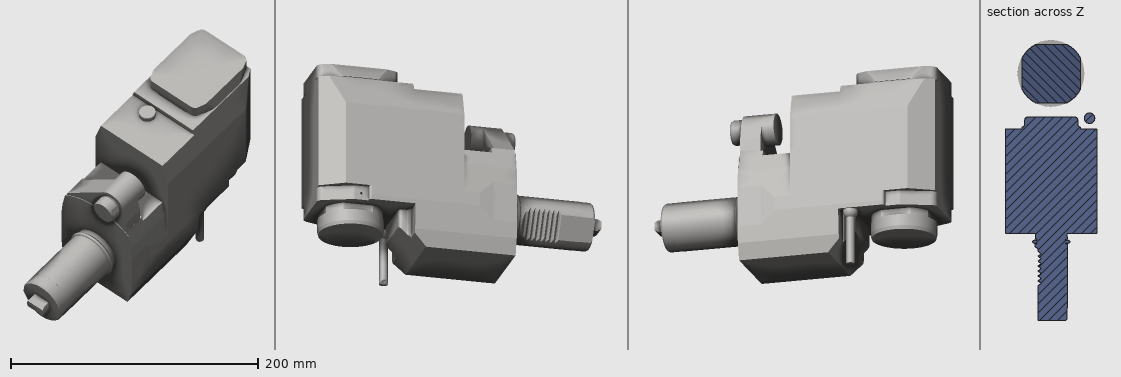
import math

import cadquery as cq


BLOCK_HALF_WIDTH = 38.0
BLOCK_BACK_Y = 163.5
BLOCK_FRONT_Y = 44.5
BLOCK_TOP_Z = 97.3
BLOCK_BOTTOM_Z = -9.2
STEP_Y = 85.2
STEP_TOP_Z = 92.2
SHOULDER_Z = 72.5
SHOULDER_SLOPE = 0.29
BACK_CORNER_LENGTH = 19.8
BACK_CORNER_ANGLE = 30

CASE_WAIST_Z = 5.5
CASE_SHOULDER = (35.8, 30.2)
CASE_TOP = (32.2, 43.8)
CASE_BACK_Y = STEP_Y
CASE_CHAMFER_Y = 75.0
FLANGE_HALF_WIDTH = 37.0
FLANGE_TOP_Z = 48.2
FLANGE_THICKNESS = 19.8
FLANGE_BLEND_Y = 31.5
PAD_HEIGHT = 0.5
PAD_RADIUS = 55.0

REAR_BOSS_HALF_WIDTH = 21.8
REAR_BOSS_BACK_Y = 94.9
REAR_BOSS_CORNER_RADIUS = 3.1
REAR_BOSS_ROOT_RADIUS = 2.2
REAR_BOSS_STEP = 1.5

SPINDLE_Y = 129.7
PLATE_HALF_LENGTH = BLOCK_BACK_Y - SPINDLE_Y
PLATE_HALF_WIDTH = 34.0
PLATE_END_HALF_WIDTH = 23.7
PLATE_SIDE_ANGLE = 20
PLATE_CORNER_RADIUS = 5.8
CAP_TOP_Z = 109.0
CAP_SPIGOT_RADIUS = 36.8
CAP_SPIGOT_HALF_WIDTH = 29.8
CAP_SPIGOT_HEIGHT = 1.0
FOOT_TOP_Z = 2.7
NOTCH_FRONT_Y = 124.0
NOTCH_CORNER_RADIUS = 2.2
FOOT_HOLE_DIAMETER = 2.1
FOOT_HOLE_DEPTH = 4.8
FOOT_HOLE_Z = -3.6
NUT_DIAMETER = 54.0
NUT_BOTTOM_Z = -27.3
NUT_RIM_HEIGHT = 3.0
NUT_RIM_INSET = 0.7
WRENCH_FLATS = 48.0
WRENCH_FLAT_BOTTOM_Z = -15.0

BUTTON_X = -10.2
BUTTON_Y = 77.0
BUTTON_DIAMETER = 13.8
BUTTON_TOP_Z = 96.5
BUTTON_CHAMFER = 0.5

LUG_X = 15.0
LUG_Z = 70.5
LUG_DIAMETER = 26.0
LUG_BACK_Y = 17.7
LUG_BASE_HALF_WIDTH = 31.0
LUG_KNEE_Z = 59.5
SLEEVE_BACK_Y = 27.8
PIN_DIAMETER = 20.5
PIN_FLATS = 19.8
PIN_FLATS_ANGLE = 30
PIN_END_Y = -10.2
PIN_CHAMFER_LENGTH = 1.7
PIN_CHAMFER_DEPTH = 1.0

SHANK_DIAMETER = 40.0
SHANK_RELIEF_DIAMETER = 39.7
SHANK_END_Y = -70.2
SHANK_NECK_Y = -2.2
SHANK_TAIL_Y = -59.8
SHANK_CHAMFER = 1.5
SHANK_CHAMFER_DEPTH = 1.0
RING_Y = -6.3
RING_SECTION_RADIUS = 1.5
RING_OUTER_DIAMETER = 42.8
GROOVE_RADIUS = 19.0
GROOVE_START_Y = -4.0
GROOVE_END_Y = -7.7

FLAT_ANGLE = 30
FLAT_OFFSET = 17.05
FLAT_START_Y = -12.0
TOOTH_COUNT = 7
TOOTH_PITCH = 4.0
TOOTH_DEPTH = 2.5
TOOTH_START_Y = -14.0

TANG_END_Y = -78.5
TANG_DIAMETER = 17.2
TANG_HEIGHT = 10.2
TANG_TIP_LENGTH = 3.0
TANG_TIP_DEPTH = 1.7

NOZZLE_X = 31.0
NOZZLE_Y = 93.7
NOZZLE_DIAMETER = 7.0
NOZZLE_END_Z = -54.7
NOZZLE_BEVEL = 3.1
NOZZLE_JET_DIAMETER = 2.1
NOZZLE_JET_DEPTH = 3.6
NOZZLE_BALL_DIAMETER = 12.0
NOZZLE_BALL_Z = -11.0

CUT_MARGIN = 12.0


def mirrored(points):
    """Closes an outline of +X points with their mirror images about X = 0."""
    return points + [(-x, other) for x, other in reversed(points)]


def prism_along_y(points, y_start, y_end):
    """Extrudes an (X, Z) outline from y_start to y_end."""
    plane = cq.Workplane("XZ", origin=(0, y_start, 0))
    return plane.polyline(points).close().extrude(y_start - y_end)


def prism_along_z(points, z_start, z_end):
    """Extrudes an (X, Y) outline from z_start to z_end."""
    plane = cq.Workplane("XY", origin=(0, 0, z_start))
    return plane.polyline(points).close().extrude(z_end - z_start)


def prism_along_x(points, half_width):
    """Extrudes a (Y, Z) outline to both sides of X = 0."""
    return cq.Workplane("YZ").polyline(points).close().extrude(half_width, both=True)


def cylinder_along_y(x, z, diameter, y_start, y_end):
    plane = cq.Workplane("XZ", origin=(x, y_start, z))
    return plane.circle(diameter / 2).extrude(y_start - y_end)


def box_between(low, high):
    size = [b - a for a, b in zip(low, high)]
    return cq.Workplane("XY").box(*size, centered=False).translate(low)


def tangent_point(corner, centre, radius, side):
    """Point where the line from corner touches the circle; side is +1 or -1."""
    dx = corner[0] - centre[0]
    dz = corner[1] - centre[1]
    angle = math.atan2(dz, dx) + side * math.acos(radius / math.hypot(dx, dz))
    return (centre[0] + radius * math.cos(angle), centre[1] + radius * math.sin(angle))


def case_half_width(z):
    """Half width of the gear case on the steep side faces next to its waist."""
    shoulder_x, shoulder_z = CASE_SHOULDER
    slope = (BLOCK_HALF_WIDTH - shoulder_x) / (shoulder_z - CASE_WAIST_Z)
    return BLOCK_HALF_WIDTH - slope * (abs(z) - CASE_WAIST_Z)


def shoulder_half_width(z):
    """Half width of the block and its cap on the sloping upper side faces."""
    return BLOCK_HALF_WIDTH - SHOULDER_SLOPE * (z - SHOULDER_Z)


def make_block():
    section = mirrored([
        (case_half_width(BLOCK_BOTTOM_Z), BLOCK_BOTTOM_Z),
        (BLOCK_HALF_WIDTH, -CASE_WAIST_Z),
        (BLOCK_HALF_WIDTH, SHOULDER_Z),
        (shoulder_half_width(BLOCK_TOP_Z), BLOCK_TOP_Z),
    ])
    block = prism_along_y(section, BLOCK_FRONT_Y, BLOCK_BACK_Y)
    corner_depth = BACK_CORNER_LENGTH * math.tan(math.radians(BACK_CORNER_ANGLE))
    plan = mirrored([
        (BLOCK_HALF_WIDTH, BLOCK_FRONT_Y),
        (BLOCK_HALF_WIDTH, BLOCK_BACK_Y - BACK_CORNER_LENGTH),
        (BLOCK_HALF_WIDTH - corner_depth, BLOCK_BACK_Y),
    ])
    block = block.intersect(prism_along_z(plan, BLOCK_BOTTOM_Z, BLOCK_TOP_Z))
    step = box_between(
        (-BLOCK_HALF_WIDTH, BLOCK_FRONT_Y, STEP_TOP_Z),
        (BLOCK_HALF_WIDTH, STEP_Y, BLOCK_TOP_Z),
    )
    return block.cut(step)


def make_plate(z_start, z_end):
    """Eight-sided plate with rounded corners, centred on the spindle axis."""
    taper = PLATE_HALF_WIDTH - PLATE_END_HALF_WIDTH
    side_half_length = PLATE_HALF_LENGTH - taper / math.tan(math.radians(PLATE_SIDE_ANGLE))
    plan = mirrored([
        (PLATE_END_HALF_WIDTH, SPINDLE_Y - PLATE_HALF_LENGTH),
        (PLATE_HALF_WIDTH, SPINDLE_Y - side_half_length),
        (PLATE_HALF_WIDTH, SPINDLE_Y + side_half_length),
        (PLATE_END_HALF_WIDTH, SPINDLE_Y + PLATE_HALF_LENGTH),
    ])
    return prism_along_z(plan, z_start, z_end).edges("|Z").fillet(PLATE_CORNER_RADIUS)


def make_cap():
    cap = make_plate(BLOCK_TOP_Z, CAP_TOP_Z)
    shoulders = mirrored([
        (shoulder_half_width(BLOCK_TOP_Z), BLOCK_TOP_Z),
        (shoulder_half_width(CAP_TOP_Z), CAP_TOP_Z),
    ])
    cap = cap.intersect(prism_along_y(shoulders, 0, BLOCK_BACK_Y))
    spigot_plane = cq.Workplane("XY", origin=(0, SPINDLE_Y, BLOCK_TOP_Z))
    spigot = (
        spigot_plane.circle(CAP_SPIGOT_RADIUS)
        .extrude(CAP_SPIGOT_HEIGHT)
        .intersect(
            spigot_plane.rect(2 * CAP_SPIGOT_HALF_WIDTH, 2 * PLATE_HALF_LENGTH)
            .extrude(CAP_SPIGOT_HEIGHT)
        )
    )
    layer = spigot_plane.rect(2 * BLOCK_HALF_WIDTH, 4 * PLATE_HALF_LENGTH).extrude(CAP_SPIGOT_HEIGHT)
    return cap.cut(layer.cut(spigot))


def make_notch():
    """Recess around the foot plate, flared where it runs out of the block sides."""
    flare_x = BLOCK_HALF_WIDTH - NOTCH_CORNER_RADIUS
    flare_y = NOTCH_FRONT_Y - NOTCH_CORNER_RADIUS
    outer_x = BLOCK_HALF_WIDTH + CUT_MARGIN
    outer_y = BLOCK_BACK_Y + CUT_MARGIN
    bend = NOTCH_CORNER_RADIUS * math.sqrt(0.5)
    return (
        cq.Workplane("XY", origin=(0, 0, BLOCK_BOTTOM_Z))
        .moveTo(-flare_x, NOTCH_FRONT_Y)
        .lineTo(flare_x, NOTCH_FRONT_Y)
        .threePointArc((flare_x + bend, flare_y + bend), (BLOCK_HALF_WIDTH, flare_y))
        .lineTo(outer_x, flare_y)
        .lineTo(outer_x, outer_y)
        .lineTo(-outer_x, outer_y)
        .lineTo(-outer_x, flare_y)
        .lineTo(-BLOCK_HALF_WIDTH, flare_y)
        .threePointArc((-flare_x - bend, flare_y + bend), (-flare_x, NOTCH_FRONT_Y))
        .close()
        .extrude(FOOT_TOP_Z - BLOCK_BOTTOM_Z)
    )


def make_foot_hole():
    plane = cq.Workplane("YZ", origin=(-PLATE_HALF_WIDTH, SPINDLE_Y, FOOT_HOLE_Z))
    return plane.circle(FOOT_HOLE_DIAMETER / 2).extrude(FOOT_HOLE_DEPTH)


def make_button():
    return (
        cq.Workplane("XY", origin=(BUTTON_X, BUTTON_Y, STEP_TOP_Z))
        .circle(BUTTON_DIAMETER / 2)
        .extrude(BUTTON_TOP_Z - STEP_TOP_Z)
        .faces(">Z")
        .chamfer(BUTTON_CHAMFER)
    )


def make_gear_case():
    shoulder_x, shoulder_z = CASE_SHOULDER
    top_x, top_z = CASE_TOP
    top_slope = (shoulder_x - top_x) / (top_z - shoulder_z)
    flange_top_x = top_x - top_slope * (FLANGE_TOP_Z - top_z)
    lower = [
        (top_x, -top_z),
        (shoulder_x, -shoulder_z),
        (BLOCK_HALF_WIDTH, -CASE_WAIST_Z),
        (BLOCK_HALF_WIDTH, CASE_WAIST_Z),
        (shoulder_x, shoulder_z),
    ]
    body = prism_along_y(mirrored(lower + [CASE_TOP]), FLANGE_THICKNESS, CASE_BACK_Y)
    flange_section = mirrored(lower + [(flange_top_x, FLANGE_TOP_Z)])
    flange = prism_along_y(flange_section, PAD_HEIGHT, FLANGE_THICKNESS)
    dome_section = mirrored(lower + [(flange_top_x, PAD_RADIUS)])
    pad = prism_along_y(dome_section, 0, PAD_HEIGHT)
    pad = pad.intersect(cylinder_along_y(0, 0, 2 * PAD_RADIUS, 0, PAD_HEIGHT))
    case = body.union(flange).union(pad)

    plan = mirrored([
        (FLANGE_HALF_WIDTH, 0),
        (FLANGE_HALF_WIDTH, FLANGE_THICKNESS),
        (BLOCK_HALF_WIDTH, FLANGE_BLEND_Y),
        (BLOCK_HALF_WIDTH, REAR_BOSS_BACK_Y),
    ])
    case = case.intersect(prism_along_z(plan, -PAD_RADIUS, PAD_RADIUS))
    case = case.cut(
        box_between(
            (-BLOCK_HALF_WIDTH, BLOCK_FRONT_Y, BLOCK_BOTTOM_Z),
            (BLOCK_HALF_WIDTH, CASE_BACK_Y, PAD_RADIUS),
        )
    )
    return case.union(make_rear_boss()).cut(make_case_chamfer())


def make_rear_boss():
    """Boss behind the gear case, rounded outwards at its back and inwards at its root."""
    outer_x = REAR_BOSS_HALF_WIDTH
    root_x = outer_x + REAR_BOSS_ROOT_RADIUS
    root_y = CASE_BACK_Y + REAR_BOSS_STEP
    bend = REAR_BOSS_ROOT_RADIUS * (1 - math.sqrt(0.5))
    bottom_z = -CASE_TOP[1]
    return (
        cq.Workplane("XY", origin=(0, 0, bottom_z))
        .moveTo(-root_x, CASE_BACK_Y)
        .lineTo(root_x, CASE_BACK_Y)
        .lineTo(root_x, root_y)
        .threePointArc((outer_x + bend, root_y + bend), (outer_x, root_y + REAR_BOSS_ROOT_RADIUS))
        .lineTo(outer_x, REAR_BOSS_BACK_Y)
        .lineTo(-outer_x, REAR_BOSS_BACK_Y)
        .lineTo(-outer_x, root_y + REAR_BOSS_ROOT_RADIUS)
        .threePointArc((-outer_x - bend, root_y + bend), (-root_x, root_y))
        .close()
        .extrude(BLOCK_BOTTOM_Z - bottom_z)
        .edges("|Z and >Y")
        .fillet(REAR_BOSS_CORNER_RADIUS)
    )


def make_case_chamfer():
    """45 degree cut across the lower rear edge of the gear case and its boss."""
    bottom_z = -CASE_TOP[1]
    run = REAR_BOSS_BACK_Y - CASE_CHAMFER_Y
    wedge = [
        (CASE_CHAMFER_Y, bottom_z),
        (CASE_CHAMFER_Y + run, bottom_z),
        (CASE_CHAMFER_Y + run, bottom_z + run),
    ]
    return prism_along_x(wedge, BLOCK_HALF_WIDTH)


def make_lug():
    radius = LUG_DIAMETER / 2
    centre = (LUG_X, LUG_Z)
    base_z = FLANGE_TOP_Z
    left = tangent_point((-LUG_BASE_HALF_WIDTH, base_z), centre, radius, -1)
    right = tangent_point((LUG_BASE_HALF_WIDTH, LUG_KNEE_Z), centre, radius, 1)
    outline = [
        (-LUG_BASE_HALF_WIDTH, base_z),
        left,
        centre,
        right,
        (LUG_BASE_HALF_WIDTH, LUG_KNEE_Z),
        (LUG_BASE_HALF_WIDTH, base_z),
    ]
    web = prism_along_y(outline, PAD_HEIGHT, LUG_BACK_Y)
    return web.union(cylinder_along_y(LUG_X, LUG_Z, LUG_DIAMETER, PAD_HEIGHT, SLEEVE_BACK_Y))


def make_stop_pin():
    radius = PIN_DIAMETER / 2
    end_radius = radius - PIN_CHAMFER_DEPTH
    profile = [
        (0, PAD_HEIGHT),
        (end_radius, PAD_HEIGHT),
        (end_radius, 0),
        (radius, -PIN_CHAMFER_LENGTH),
        (radius, PIN_END_Y + PIN_CHAMFER_LENGTH),
        (end_radius, PIN_END_Y),
        (0, PIN_END_Y),
    ]
    pin = cq.Workplane("XY").polyline(profile).close().revolve(360, (0, 0, 0), (0, 1, 0))
    flats = (
        cq.Workplane("XY")
        .box(PIN_FLATS, 2 * abs(PIN_END_Y) + CUT_MARGIN, PIN_DIAMETER)
        .rotate((0, 0, 0), (0, 1, 0), -PIN_FLATS_ANGLE)
    )
    return pin.intersect(flats).translate((LUG_X, 0, LUG_Z))


def make_shank():
    radius = SHANK_DIAMETER / 2
    relief = SHANK_RELIEF_DIAMETER / 2
    profile = [
        (0, 0),
        (relief, 0),
        (relief, SHANK_NECK_Y),
        (radius, SHANK_NECK_Y),
        (radius, GROOVE_START_Y),
        (GROOVE_RADIUS, GROOVE_START_Y),
        (GROOVE_RADIUS, GROOVE_END_Y),
        (radius, GROOVE_END_Y),
        (radius, SHANK_TAIL_Y),
        (relief, SHANK_TAIL_Y),
        (relief, SHANK_END_Y + SHANK_CHAMFER),
        (relief - SHANK_CHAMFER_DEPTH, SHANK_END_Y),
        (0, SHANK_END_Y),
    ]
    shank = cq.Workplane("XY").polyline(profile).close().revolve(360, (0, 0, 0), (0, 1, 0))
    ring_radius = RING_OUTER_DIAMETER / 2 - RING_SECTION_RADIUS
    ring = (
        cq.Workplane("XY")
        .center(ring_radius, RING_Y)
        .circle(RING_SECTION_RADIUS)
        .revolve(360, (-ring_radius, 0, 0), (-ring_radius, 1, 0))
    )
    return shank.union(ring).cut(make_toothed_flat())


def make_toothed_flat():
    """Cutter for the flat, with a 45 degree run-out and a row of V grooves."""
    half_length = SHANK_DIAMETER / 2
    outer = FLAT_OFFSET + CUT_MARGIN
    end_y = SHANK_END_Y - CUT_MARGIN
    flat = [
        (-FLAT_OFFSET, FLAT_START_Y),
        (-outer, FLAT_START_Y + CUT_MARGIN),
        (-outer, end_y),
        (-FLAT_OFFSET, end_y),
    ]
    ramp_limit = box_between(
        (-outer, end_y, -half_length),
        (0, GROOVE_END_Y, half_length),
    )
    cutter = prism_along_z(flat, -half_length, half_length).intersect(ramp_limit)
    for index in range(TOOTH_COUNT):
        start_y = TOOTH_START_Y - index * TOOTH_PITCH
        groove = [
            (-FLAT_OFFSET, start_y),
            (TOOTH_DEPTH - FLAT_OFFSET, start_y - TOOTH_PITCH / 2),
            (-FLAT_OFFSET, start_y - TOOTH_PITCH),
        ]
        cutter = cutter.union(prism_along_z(groove, -half_length, half_length))
    return cutter.rotate((0, 0, 0), (0, 1, 0), -FLAT_ANGLE)


def make_tang():
    tang = cylinder_along_y(0, 0, TANG_DIAMETER, TANG_END_Y, SHANK_END_Y)
    half_height = TANG_HEIGHT / 2
    tip_y = TANG_END_Y + TANG_TIP_LENGTH
    tip_half_height = half_height - TANG_TIP_DEPTH
    side = [
        (SHANK_END_Y, -half_height),
        (SHANK_END_Y, half_height),
        (tip_y, half_height),
        (TANG_END_Y, tip_half_height),
        (TANG_END_Y, -tip_half_height),
        (tip_y, -half_height),
    ]
    return tang.intersect(prism_along_x(side, TANG_DIAMETER))


def make_nozzle():
    radius = NOZZLE_DIAMETER / 2
    tube = (
        cq.Workplane("XY", origin=(NOZZLE_X, NOZZLE_Y, NOZZLE_END_Z))
        .circle(radius)
        .extrude(BLOCK_BOTTOM_Z - NOZZLE_END_Z)
    )
    edge_x = NOZZLE_X - radius
    bevel = [
        (edge_x, NOZZLE_END_Z),
        (edge_x + NOZZLE_BEVEL, NOZZLE_END_Z),
        (edge_x, NOZZLE_END_Z + NOZZLE_BEVEL),
    ]
    tube = tube.cut(prism_along_y(bevel, NOZZLE_Y - radius, NOZZLE_Y + radius))
    bevel_centre = (edge_x + NOZZLE_BEVEL / 2, NOZZLE_Y, NOZZLE_END_Z + NOZZLE_BEVEL / 2)
    jet_plane = cq.Plane(origin=bevel_centre, xDir=(0, 1, 0), normal=(1, 0, 1))
    jet = cq.Workplane(jet_plane).circle(NOZZLE_JET_DIAMETER / 2).extrude(NOZZLE_JET_DEPTH)
    ball = (
        cq.Workplane("XY")
        .sphere(NOZZLE_BALL_DIAMETER / 2)
        .translate((NOZZLE_X, NOZZLE_Y, NOZZLE_BALL_Z))
    )
    return tube.union(ball).cut(jet)


def make_housing():
    housing = make_block().cut(make_notch())
    foot = make_plate(BLOCK_BOTTOM_Z, FOOT_TOP_Z).cut(make_foot_hole())
    features = [
        foot,
        make_cap(),
        make_button(),
        make_gear_case(),
        make_lug(),
        make_stop_pin(),
        make_shank(),
        make_tang(),
        make_nozzle(),
    ]
    for feature in features:
        housing = housing.union(feature)
    return housing


def make_spindle_nut():
    radius = NUT_DIAMETER / 2
    profile = [
        (0, NUT_BOTTOM_Z),
        (radius - NUT_RIM_INSET, NUT_BOTTOM_Z),
        (radius, NUT_BOTTOM_Z + NUT_RIM_HEIGHT),
        (radius, BLOCK_BOTTOM_Z),
        (0, BLOCK_BOTTOM_Z),
    ]
    nut = cq.Workplane("XZ").polyline(profile).close().revolve(360, (0, 0, 0), (0, 1, 0))
    flats = (
        cq.Workplane("XY", origin=(0, 0, WRENCH_FLAT_BOTTOM_Z))
        .rect(2 * NUT_DIAMETER, 2 * NUT_DIAMETER)
        .rect(WRENCH_FLATS, WRENCH_FLATS)
        .extrude(BLOCK_BOTTOM_Z - WRENCH_FLAT_BOTTOM_Z)
    )
    return nut.cut(flats).translate((0, SPINDLE_Y, 0))


housing = make_housing()
spindle_nut = make_spindle_nut()
result = cq.Compound.makeCompound([housing.solids().val(), spindle_nut.solids().val()])